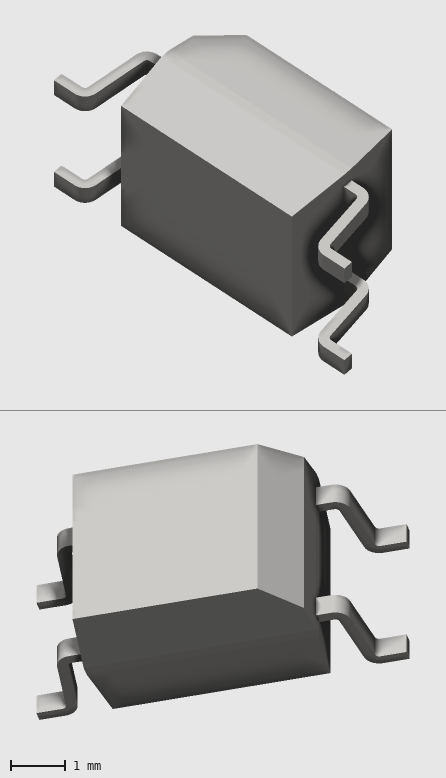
import cadquery as cq
import math

overall_length = 7.0
overall_height = 3.0
body_length = 4.395
body_width = 3.6
body_standoff = 0.2
band_bottom = 1.51
band_top = 1.71
draft_inset = 0.14
chamfer_leg = 0.69

lead_thickness = 0.21
lead_width = 0.405
lead_pitch = 2.535
inner_bend_radius = 0.085
foot_flat_length = 0.5
leg_tilt = math.radians(7.3)


def tapered_half(start_height, end_height):
    """Frustum from the band outline to a smaller end face, sides leaning inward."""
    base = cq.Plane(origin=(0, start_height, 0), xDir=(1, 0, 0), normal=(0, 1, 0))
    return (
        cq.Workplane(base)
        .rect(body_length, body_width)
        .workplane(offset=end_height - start_height)
        .rect(body_length - 2 * draft_inset, body_width - 2 * draft_inset)
        .loft(ruled=True)
    )


def make_body():
    """Straight band with a drafted half on each side and one bevelled edge."""
    band_height = band_top - band_bottom
    band_middle = (band_top + band_bottom) / 2
    band = cq.Workplane("XY").box(body_length, band_height, body_width).translate((0, band_middle, 0))
    lower_half = tapered_half(band_bottom, body_standoff)
    upper_half = tapered_half(band_top, overall_height)

    outer_x = -body_length / 2
    inset_per_height = draft_inset / (overall_height - band_top)
    bevel_bottom = overall_height - chamfer_leg
    bevel_side_x = outer_x + inset_per_height * (bevel_bottom - band_top)
    bevel_reach = bevel_side_x + chamfer_leg - outer_x
    wedge = (
        cq.Workplane("XY")
        .moveTo(outer_x, overall_height)
        .lineTo(outer_x + bevel_reach, overall_height)
        .lineTo(outer_x, overall_height - bevel_reach)
        .close()
        .extrude(body_width / 2, both=True)
    )
    return band.union(lower_half).union(upper_half).cut(wedge)


def along(point, distance, angle):
    """Point at a distance and direction angle from another point."""
    return (point[0] + distance * math.cos(angle), point[1] + distance * math.sin(angle))


def make_lead(z_center):
    """Gull-wing lead on the -X side, ending against the body's band."""
    outer_radius = inner_bend_radius + lead_thickness
    middle_radius = inner_bend_radius + lead_thickness / 2
    tip_x = -overall_length / 2
    band_x = -body_length / 2

    foot_center = (tip_x + foot_flat_length, outer_radius)
    shoulder_center_y = band_top - outer_radius
    center_rise = shoulder_center_y - foot_center[1]
    leg_length = (center_rise + 2 * middle_radius * math.sin(leg_tilt)) / math.cos(leg_tilt)
    leg_foot = along(foot_center, 2 * middle_radius, -leg_tilt)
    shoulder_center = along(leg_foot, leg_length, math.pi / 2 - leg_tilt)

    down = -math.pi / 2
    up = math.pi / 2
    foot_side = -leg_tilt
    foot_middle = (down + foot_side) / 2
    shoulder_side = math.pi - leg_tilt
    shoulder_middle = (up + shoulder_side) / 2

    profile = (
        cq.Workplane("XY")
        .moveTo(tip_x, 0)
        .lineTo(*along(foot_center, outer_radius, down))
        .threePointArc(
            along(foot_center, outer_radius, foot_middle),
            along(foot_center, outer_radius, foot_side),
        )
        .lineTo(*along(shoulder_center, inner_bend_radius, shoulder_side))
        .threePointArc(
            along(shoulder_center, inner_bend_radius, shoulder_middle),
            along(shoulder_center, inner_bend_radius, up),
        )
        .lineTo(band_x, band_top - lead_thickness)
        .lineTo(band_x, band_top)
        .lineTo(*along(shoulder_center, outer_radius, up))
        .threePointArc(
            along(shoulder_center, outer_radius, shoulder_middle),
            along(shoulder_center, outer_radius, shoulder_side),
        )
        .lineTo(*along(foot_center, inner_bend_radius, foot_side))
        .threePointArc(
            along(foot_center, inner_bend_radius, foot_middle),
            along(foot_center, inner_bend_radius, down),
        )
        .lineTo(tip_x, lead_thickness)
        .close()
    )
    return profile.extrude(lead_width / 2, both=True).translate((0, 0, z_center))


body = make_body()

leads = []
for z_center in (-lead_pitch / 2, lead_pitch / 2):
    lead = make_lead(z_center)
    leads.append(lead.solids().val())
    leads.append(lead.mirror("YZ").solids().val())

result = cq.Compound.makeCompound([body.solids().val(), *leads])